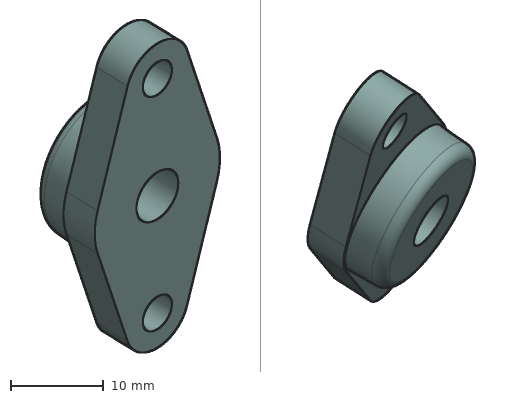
import cadquery as cq
import math

length = 41.25
plate_width = 19.05
total_depth = 9.55
plate_thickness = 4.75
end_radius = 4.75
mount_hole_diameter = 4.4
bore_diameter = 6.35
boss_base_radius = 9.25
boss_rim_radius = 9.08
boss_face_radius = 7.7
rim_depth = 1.4

middle_radius = plate_width / 2
hole_offset = length / 2 - end_radius
boss_height = total_depth - plate_thickness


def make_plate():
    """Flange along +X from x = 0: a middle arc and two end arcs joined by tangent lines."""
    slope = math.asin((middle_radius - end_radius) / hole_offset)
    middle_y = middle_radius * math.cos(slope)
    middle_z = middle_radius * math.sin(slope)
    end_y = end_radius * math.cos(slope)
    end_z = hole_offset + end_radius * math.sin(slope)
    return (
        cq.Workplane("YZ")
        .moveTo(middle_y, -middle_z)
        .threePointArc((middle_radius, 0), (middle_y, middle_z))
        .lineTo(end_y, end_z)
        .threePointArc((0, length / 2), (-end_y, end_z))
        .lineTo(-middle_y, middle_z)
        .threePointArc((-middle_radius, 0), (-middle_y, -middle_z))
        .lineTo(-end_y, -end_z)
        .threePointArc((0, -length / 2), (end_y, -end_z))
        .close()
        .extrude(plate_thickness)
    )


def make_boss():
    """Slightly tapered round boss along -X with a rounded rim, revolved about X."""
    rim_width = boss_rim_radius - boss_face_radius
    diagonal = math.sqrt(0.5)
    rim_middle = (
        -boss_height + rim_depth * (1 - diagonal),
        boss_face_radius + rim_width * diagonal,
    )
    return (
        cq.Workplane("XY")
        .lineTo(0, boss_base_radius)
        .lineTo(-boss_height + rim_depth, boss_rim_radius)
        .threePointArc(rim_middle, (-boss_height, boss_face_radius))
        .lineTo(-boss_height, 0)
        .close()
        .revolve(360, (0, 0, 0), (1, 0, 0))
    )


def make_hole(diameter, z):
    """Cutter along X that passes through the whole depth."""
    return (
        cq.Workplane("YZ", origin=(-boss_height, 0, 0))
        .center(0, z)
        .circle(diameter / 2)
        .extrude(total_depth)
    )


result = make_plate().union(make_boss())
result = result.cut(make_hole(bore_diameter, 0))
for side in (-1, 1):
    result = result.cut(make_hole(mount_hole_diameter, side * hole_offset))